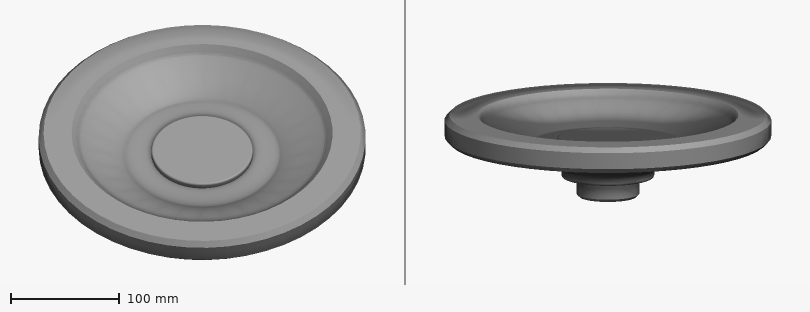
import cadquery as cq

rim_radius = 150.0
height = 76.0

rim_thickness = 24.0
rim_chamfer = 4.5
rim_bottom = height - rim_thickness

web_outer_radius = 98.7
web_slope = 0.46

flange_radius = 42.5
flange_bottom = 18.0
flange_fillet = 2.5
web_fillet = 6.3
shaft_radius = 28.95
shaft_chamfer = 2.7

bowl_mouth_radius = 119.7
bowl_lip_radius = 113.5
bowl_lip_depth = 6.3
bowl_floor_radius = 71.0
bowl_depth = 26.0
bowl_lip_fillet = 7.2
bowl_floor_fillet = 4.5

boss_radius = 46.65
boss_height = 5.0
boss_fillet = 1.8

web_bottom = rim_bottom - web_slope * (web_outer_radius - flange_radius)
bowl_floor = height - bowl_depth


def revolve_profile(points):
    """Revolve a closed (radius, height) outline about the Z axis."""
    outline = cq.Workplane("XZ").polyline(points).close()
    return outline.revolve(360, (0, 0, 0), (0, 1, 0))


def edges_at(radius, z):
    """Select the circular edges at the given height, up to the given radius."""
    tolerance = 0.03
    return cq.selectors.BoxSelector(
        (-radius - tolerance, -radius - tolerance, z - tolerance),
        (radius + tolerance, radius + tolerance, z + tolerance),
        boundingbox=True,
    )


def make_body():
    """Rim, web, flange and shaft as one turned solid."""
    largest_edge = cq.selectors.RadiusNthSelector(-1)
    body = revolve_profile([
        (0, 0),
        (shaft_radius, 0),
        (shaft_radius, flange_bottom),
        (flange_radius, flange_bottom),
        (flange_radius, web_bottom),
        (web_outer_radius, rim_bottom),
        (rim_radius, rim_bottom),
        (rim_radius, height),
        (0, height),
    ])
    body = body.faces(">Z").edges().chamfer(rim_chamfer)
    body = body.edges(edges_at(rim_radius, rim_bottom)).edges(largest_edge).chamfer(rim_chamfer)
    body = body.faces("<Z").edges().chamfer(shaft_chamfer)
    body = body.edges(edges_at(flange_radius, web_bottom)).fillet(web_fillet)
    return body.edges(edges_at(flange_radius, flange_bottom)).edges(largest_edge).fillet(flange_fillet)


def make_bowl():
    """Volume removed from the top of the rim to form the bowl."""
    bowl = revolve_profile([
        (0, bowl_floor),
        (bowl_floor_radius, bowl_floor),
        (bowl_lip_radius, height - bowl_lip_depth),
        (bowl_mouth_radius, height),
        (0, height),
    ])
    bowl = bowl.edges(edges_at(bowl_lip_radius, height - bowl_lip_depth)).fillet(bowl_lip_fillet)
    return bowl.faces("<Z").edges().fillet(bowl_floor_fillet)


def make_boss():
    """Round-edged disc standing on the bowl floor."""
    disc = cq.Workplane("XY", origin=(0, 0, bowl_floor)).circle(boss_radius).extrude(boss_height)
    return disc.faces(">Z").edges().fillet(boss_fillet)


result = make_body().cut(make_bowl()).union(make_boss())